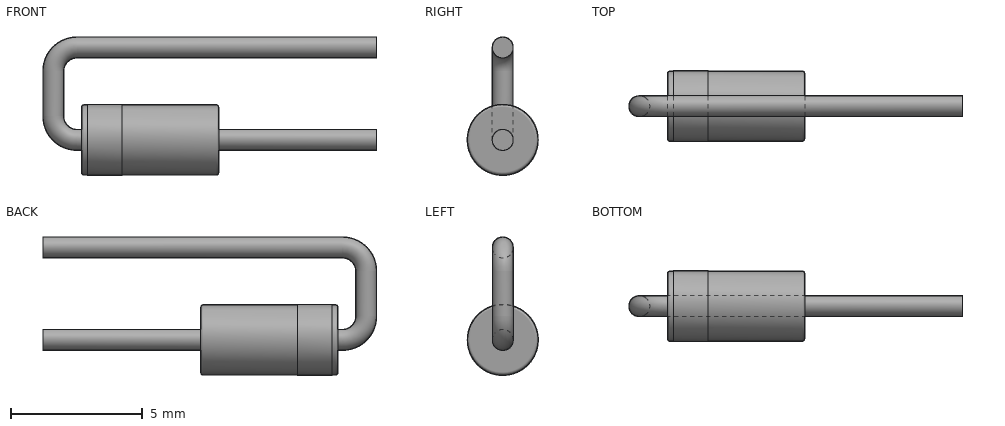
import cadquery as cq

total_length = 12.65
wire_diameter = 0.8
lead_spacing = 3.5
bend_radius = 0.9

body_start = 1.47
body_length = 5.2
band_diameter = 2.7
body_diameter = 2.67
band_offset = 0.23
band_length = 1.3
edge_round = 0.1

wire_radius = wire_diameter / 2
body_end = body_start + body_length


def x_cylinder(start, length, diameter):
    """Solid cylinder on the body axis, running toward +X."""
    return cq.Workplane("YZ", origin=(start, 0, 0)).circle(diameter / 2).extrude(length)


def make_body():
    sleeve = x_cylinder(body_start, body_length, body_diameter).edges().fillet(edge_round)
    band = x_cylinder(body_start + band_offset, band_length, band_diameter)
    return sleeve.union(band)


def make_bent_lead():
    """Lead that leaves the band end, turns up and runs back above the body."""
    riser_x = wire_radius
    bend_x = riser_x + bend_radius
    lower_bend = bend_radius * (1 - 0.5**0.5)
    path = (
        cq.Workplane("XZ")
        .moveTo(body_start + edge_round, 0)
        .lineTo(bend_x, 0)
        .threePointArc((riser_x + lower_bend, lower_bend), (riser_x, bend_radius))
        .lineTo(riser_x, lead_spacing - bend_radius)
        .threePointArc((riser_x + lower_bend, lead_spacing - lower_bend), (bend_x, lead_spacing))
        .lineTo(total_length, lead_spacing)
    )
    profile = cq.Workplane("YZ", origin=(body_start + edge_round, 0, 0)).circle(wire_radius)
    return profile.sweep(path)


def make_straight_lead():
    lead_start = body_end - edge_round
    return x_cylinder(lead_start, total_length - lead_start, wire_diameter)


result = make_body().union(make_bent_lead()).union(make_straight_lead())